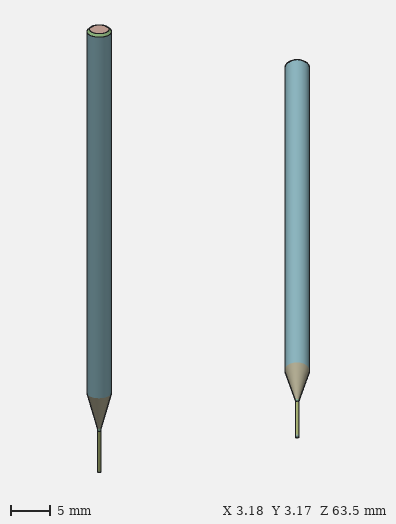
import cadquery as cq

overall_length = 63.5
shank_diameter = 3.175

bevel_size = 0.33
taper_start_z = 11.4
neck_length = 0.35

cutter_diameter = 0.5
cutter_length = 6.0

shank_radius = shank_diameter / 2
cutter_radius = cutter_diameter / 2
neck_radius = cutter_radius
neck_bottom_z = cutter_length
neck_top_z = neck_bottom_z + neck_length


def turn(outline):
    """Close a half-profile in the XZ plane and revolve it about the Z axis."""
    return outline.close().revolve(360, (0, 0, 0), (0, 1, 0))


def make_shank():
    """Turned shank, narrowing through a taper to the neck at its lower end."""
    return turn(
        cq.Workplane("XZ")
        .moveTo(0, neck_bottom_z)
        .lineTo(neck_radius, neck_bottom_z)
        .lineTo(neck_radius, neck_top_z)
        .lineTo(shank_radius, taper_start_z)
        .lineTo(shank_radius, overall_length - bevel_size)
        .lineTo(shank_radius - bevel_size, overall_length)
        .lineTo(0, overall_length)
    )


def make_cutter():
    """Ball-nosed rod that butts against the neck of the shank."""
    return turn(
        cq.Workplane("XZ")
        .moveTo(0, 0)
        .radiusArc((cutter_radius, cutter_radius), -cutter_radius)
        .lineTo(cutter_radius, cutter_length)
        .lineTo(0, cutter_length)
    )


shank = make_shank()
cutter = make_cutter()

result = cq.Compound.makeCompound([shank.val(), cutter.val()])